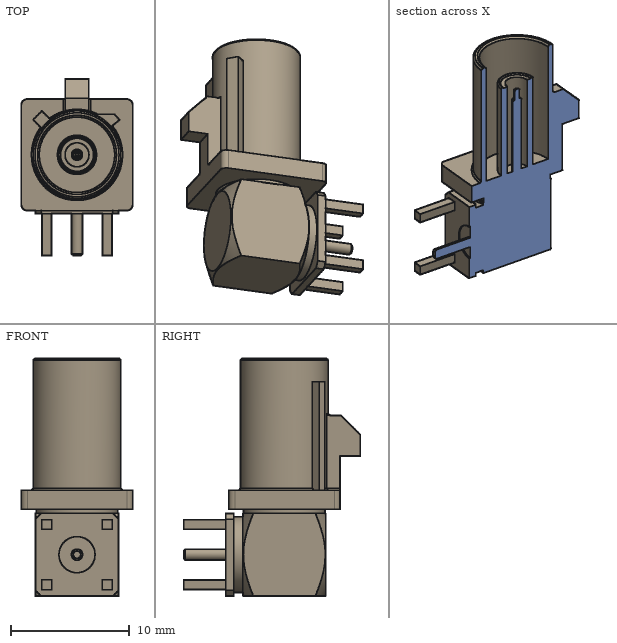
import cadquery as cq
import math


block_side = 7.0
block_height = 6.97
board_axis_z = block_height / 2
block_face_radius = 3.4
block_chamfer_angle = 30.0

neck_diameter = 6.89
flange_side = 9.4
flange_bottom = 7.29
flange_top = 8.93
flange_corner_radius = 0.52
root_bevel = 0.15

tube_top = 20.02
tube_radius = 7.4 / 2
tube_bore_radius = 6.35 / 2
tube_chamfer = 0.16

sleeve_top = 17.5
sleeve_radius = 3.3 / 2
sleeve_rim_radius = 3.05 / 2
sleeve_seat_radius = 2.78 / 2
sleeve_bore_radius = 2.02 / 2
contact_radius = 0.92 / 2
contact_shoulder_radius = 0.68 / 2
contact_tip_radius = 0.55 / 2
contact_tip_end_radius = 0.12
contact_shoulder_z = 15.82
contact_tip_z = 16.82

key_top = 18.04
left_key_reach = 4.7
left_key_width = 1.05
left_key_angle = 135.0
embed_reach = 3.4
right_key_outline = [(1.2, 3.4), (3.16, 3.4), (3.58, 2.95), (2.62, 2.16)]

latch_width = 2.0
latch_tip_y = 6.4
latch_bottom = 11.8
latch_slope_start = 13.57
latch_top = 15.22

collar_diameter = 6.4
plate_back_y = -4.25
plate_front_y = -4.95
plate_corner_chamfer = 0.48
pin_end_y = -8.49
pin_recess_diameter = 3.05
pin_recess_depth = 0.1
leg_side = 0.82
leg_pitch = 5.09
center_pin_diameter = 0.95
center_pin_chamfer = 0.16


def revolve_z(profile):
    """Turn a closed (radius, z) profile about the Z axis."""
    return cq.Workplane("XZ").polyline(profile).close().revolve(360, (0, 0, 0), (0, 1, 0))


def toward_front(start_y):
    """Sketch plane across the board axis whose extrusions run toward -Y."""
    return cq.Workplane("XZ", origin=(0, start_y, board_axis_z))


def elbow_block():
    """Block whose front and back corners are cut by cones, like a chamfered nut."""
    half_side = block_side / 2
    corner_radius = math.hypot(half_side, board_axis_z) + 0.2
    cone_depth = (corner_radius - block_face_radius) * math.tan(math.radians(block_chamfer_angle))
    body = cq.Workplane("XY").box(block_side, block_side, block_height, centered=(True, True, False))
    envelope = (
        cq.Workplane("XY")
        .polyline([
            (0, -half_side),
            (block_face_radius, -half_side),
            (corner_radius, cone_depth - half_side),
            (corner_radius, half_side - cone_depth),
            (block_face_radius, half_side),
            (0, half_side),
        ])
        .close()
        .revolve(360, (0, 0, 0), (0, 1, 0))
        .translate((0, 0, board_axis_z))
    )
    return body.intersect(envelope)


def neck_and_flange():
    neck = (
        cq.Workplane("XY", origin=(0, 0, block_height))
        .circle(neck_diameter / 2)
        .extrude(flange_bottom - block_height)
    )
    flange = (
        cq.Workplane("XY", origin=(0, 0, flange_bottom))
        .rect(flange_side, flange_side)
        .extrude(flange_top - flange_bottom)
        .edges("|Z")
        .fillet(flange_corner_radius)
    )
    return neck.union(flange)


def mating_tube():
    return revolve_z([
        (tube_bore_radius, flange_top),
        (tube_radius + root_bevel, flange_top),
        (tube_radius, flange_top + root_bevel),
        (tube_radius, tube_top - tube_chamfer),
        (tube_radius - tube_chamfer, tube_top),
        (tube_bore_radius + tube_chamfer, tube_top),
        (tube_bore_radius, tube_top - tube_chamfer),
    ])


def inner_sleeve():
    """Sleeve with a sharp rim, a shallow conical seat and a straight bore."""
    seat_z = sleeve_top - (sleeve_rim_radius - sleeve_seat_radius)
    return revolve_z([
        (sleeve_bore_radius, flange_top),
        (sleeve_radius, flange_top),
        (sleeve_radius, sleeve_top - (sleeve_radius - sleeve_rim_radius)),
        (sleeve_rim_radius, sleeve_top),
        (sleeve_seat_radius, seat_z),
        (sleeve_bore_radius, seat_z),
    ])


def contact():
    """Stepped center contact with a beveled shoulder and a tapered tip."""
    return revolve_z([
        (0, flange_top),
        (contact_radius, flange_top),
        (contact_radius, contact_shoulder_z - (contact_radius - contact_shoulder_radius)),
        (contact_shoulder_radius, contact_shoulder_z),
        (contact_tip_radius, contact_shoulder_z),
        (contact_tip_radius, contact_tip_z - (contact_tip_radius - contact_tip_end_radius)),
        (contact_tip_end_radius, contact_tip_z),
        (0, contact_tip_z),
    ])


def coding_keys():
    key_height = key_top - flange_top
    left_key = (
        cq.Workplane("XY", origin=(0, 0, flange_top))
        .center((embed_reach + left_key_reach) / 2, 0)
        .rect(left_key_reach - embed_reach, left_key_width)
        .extrude(key_height)
        .rotate((0, 0, 0), (0, 0, 1), left_key_angle)
    )
    right_key = (
        cq.Workplane("XY", origin=(0, 0, flange_top))
        .polyline(right_key_outline)
        .close()
        .extrude(key_height)
    )
    return left_key.union(right_key)


def latch():
    """Hooked rib on the back of the tube, beveled along its root and where its top meets the tube."""
    back_y = flange_side / 2
    hook = (
        cq.Workplane("YZ")
        .polyline([
            (embed_reach, flange_top),
            (back_y, flange_top),
            (back_y, latch_bottom),
            (latch_tip_y, latch_bottom),
            (latch_tip_y, latch_slope_start),
            (latch_tip_y - (latch_top - latch_slope_start), latch_top),
            (embed_reach, latch_top),
        ])
        .close()
        .extrude(latch_width / 2, both=True)
    )
    half_width = latch_width / 2
    root = (
        cq.Workplane("XZ", origin=(0, back_y, 0))
        .polyline([
            (-half_width - root_bevel, flange_top),
            (half_width + root_bevel, flange_top),
            (half_width, flange_top + root_bevel),
            (-half_width, flange_top + root_bevel),
        ])
        .close()
        .extrude(back_y - embed_reach)
    )
    top_bevel = revolve_z([
        (embed_reach, latch_top),
        (tube_radius + root_bevel, latch_top),
        (tube_radius, latch_top + root_bevel),
        (embed_reach, latch_top + root_bevel),
    ])
    latch_zone = cq.Workplane("XY").box(latch_width, flange_side, tube_top, centered=(True, False, False))
    return hook.union(root).union(top_bevel.intersect(latch_zone))


def board_plate():
    """Round collar and square plate, with a shallow recess around the center pin."""
    collar_start_y = -block_side / 2
    collar = toward_front(collar_start_y).circle(collar_diameter / 2).extrude(collar_start_y - plate_back_y)
    plate = (
        toward_front(plate_back_y)
        .rect(block_side, block_height)
        .extrude(plate_back_y - plate_front_y)
        .edges("|Y")
        .chamfer(plate_corner_chamfer)
    )
    recess = (
        toward_front(plate_front_y + pin_recess_depth)
        .circle(pin_recess_diameter / 2)
        .extrude(pin_recess_depth)
    )
    return collar.union(plate).cut(recess)


def board_pins():
    pin_length = plate_front_y - pin_end_y
    legs = (
        toward_front(plate_front_y)
        .rarray(leg_pitch, leg_pitch, 2, 2)
        .rect(leg_side, leg_side)
        .extrude(pin_length)
    )
    center_pin = (
        toward_front(plate_front_y + pin_recess_depth)
        .circle(center_pin_diameter / 2)
        .extrude(pin_length + pin_recess_depth)
        .faces("<Y")
        .chamfer(center_pin_chamfer)
    )
    return legs.union(center_pin)


result = (
    elbow_block()
    .union(neck_and_flange())
    .union(mating_tube())
    .union(inner_sleeve())
    .union(contact())
    .union(coding_keys())
    .union(latch())
    .union(board_plate())
    .union(board_pins())
)